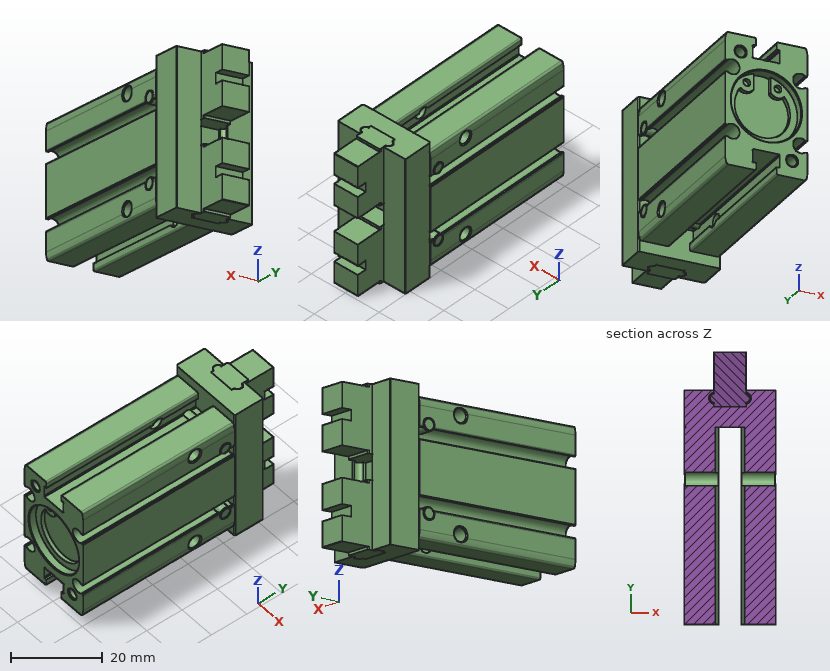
import cadquery as cq
import math


HALF_WIDTH = 10.0
HALF_HEIGHT = 16.0
BODY_LENGTH = 43.0
FLANK_START = 14.0
FLANK_RADIUS = 5.2
CORNER_RADIUS = 0.6

SLOT_HALF_MOUTH = 2.5
SLOT_HALF_WIDTH = 3.3
SLOT_LIP_BOTTOM = 14.2
SLOT_FLOOR = 11.0
SLOT_RIM_RADIUS = 0.4
SLOT_CORNER = 0.2

GROOVE_DIAMETER = 3.6
GROOVE_X = 8.3
GROOVE_Z = 7.8
GROOVE_HALF_MOUTH = 1.42
GROOVE_LIP_DEPTH = 0.1
GROOVE_OUTER_LIP = 0.35
GROOVE_INNER_LIP = 0.15

CROSS_HOLE_DIAMETER = 3.24
CROSS_HOLE_RIM = 3.8
CROSS_HOLE_Y = 31.7
CROSS_HOLE_Z = 13.4
END_HOLE_DIAMETER = 2.46
END_HOLE_RIM = 3.0
END_HOLE_X = 6.25
END_HOLE_Z = 11.9
END_HOLE_DEPTH = 8.0

PIN_DIAMETER = 3.0
PIN_Y = 40.4
PIN_Z = 10.0
PIN_CHAMFER_LENGTH = 0.25
PIN_CHAMFER_RADIAL = 0.2

BORE_DIAMETER = 17.0
BORE_DEPTH = 3.0
BORE_CHAMFER = 0.2
RING_INNER_DIAMETER = 13.5
RING_THICKNESS = 1.0
RING_HALF_GAP = 2.05
LUG_DIAMETER = 4.4
LUG_HOLE_DIAMETER = 1.7
LUG_X = 3.78
LUG_Z = 5.8

PLATE_HALF_HEIGHT = 18.7
PLATE_THICKNESS = 8.1
PLATE_FRONT = BODY_LENGTH + PLATE_THICKNESS
PLATE_REAR_CHAMFER = 0.3
PLATE_FRONT_CHAMFER = 0.15

JAW_HALF_WIDTH = 3.5
JAW_BACK = 47.5
JAW_TIP = 59.4
JAW_CENTRE_Z = 10.82
FOOT_TOP = 52.3
FOOT_LENGTH = 2 * (PLATE_HALF_HEIGHT - JAW_CENTRE_Z)
FOOT_CHAMFER_LENGTH = 0.4
FOOT_CHAMFER_SIDE = 0.15
FINGER_LENGTH = 14.35
TIP_CHAMFER = 0.1
NOTCH_WIDTH = 2.5
NOTCH_DEPTH = 2.55
RIDGE_X = 3.35
RIDGE_Y = 49.35
RIDGE_RADIUS = 1.05
TRACK_RADIUS = 1.2


def block(x_range, y_range, z_range):
    """Box between the given limits."""
    limits = (x_range, y_range, z_range)
    size = [high - low for low, high in limits]
    return cq.Workplane("XY").box(*size, centered=False).translate([low for low, high in limits])


def rear_plane(y=0.0):
    """XZ workplane at depth y; a negative extrusion runs towards +Y."""
    return cq.Workplane("XZ", origin=(0, y, 0))


def extrusion_outline():
    """Solid outline of the body, with curved flanks and rounded corners."""
    flank_x = HALF_WIDTH - FLANK_RADIUS
    reach = FLANK_RADIUS - CORNER_RADIUS
    corner_z = HALF_HEIGHT - CORNER_RADIUS
    angle = math.asin((corner_z - FLANK_START) / reach)
    corner_x = flank_x + reach * math.cos(angle)
    join_x = flank_x + FLANK_RADIUS * math.cos(angle)
    join_z = FLANK_START + FLANK_RADIUS * math.sin(angle)
    quarter = (
        rear_plane()
        .lineTo(HALF_WIDTH, 0)
        .lineTo(HALF_WIDTH, FLANK_START)
        .tangentArcPoint((join_x, join_z), relative=False)
        .tangentArcPoint((corner_x, HALF_HEIGHT), relative=False)
        .lineTo(0, HALF_HEIGHT)
        .close()
        .extrude(-BODY_LENGTH)
    )
    half = quarter.union(quarter.mirror("YZ"))
    return half.union(half.mirror("XY")).clean()


def t_slot():
    """Cutter for the upper T-slot."""
    mouth_edge = SLOT_HALF_MOUTH + SLOT_RIM_RADIUS
    rim_z = HALF_HEIGHT - SLOT_RIM_RADIUS
    half = (
        rear_plane()
        .moveTo(0, SLOT_FLOOR)
        .lineTo(SLOT_HALF_WIDTH - SLOT_CORNER, SLOT_FLOOR)
        .lineTo(SLOT_HALF_WIDTH, SLOT_FLOOR + SLOT_CORNER)
        .lineTo(SLOT_HALF_WIDTH, SLOT_LIP_BOTTOM - SLOT_CORNER)
        .lineTo(SLOT_HALF_WIDTH - SLOT_CORNER, SLOT_LIP_BOTTOM)
        .lineTo(SLOT_HALF_MOUTH, SLOT_LIP_BOTTOM)
        .lineTo(SLOT_HALF_MOUTH, rim_z)
        .radiusArc((mouth_edge, HALF_HEIGHT), SLOT_RIM_RADIUS)
        .lineTo(0, HALF_HEIGHT)
        .close()
        .extrude(-BODY_LENGTH)
    )
    return half.union(half.mirror("YZ"))


def side_groove():
    """Cutter for the upper groove on the +X side: a round channel with a narrower mouth."""
    channel = rear_plane().center(GROOVE_X, GROOVE_Z).circle(GROOVE_DIAMETER / 2).extrude(-BODY_LENGTH)
    channel = channel.intersect(
        block((0, HALF_WIDTH - GROOVE_LIP_DEPTH), (0, BODY_LENGTH), (0, HALF_HEIGHT))
    )
    lip_x = HALF_WIDTH - GROOVE_LIP_DEPTH
    top = GROOVE_Z + GROOVE_HALF_MOUTH
    bottom = GROOVE_Z - GROOVE_HALF_MOUTH
    mouth = (
        rear_plane()
        .moveTo(GROOVE_X, bottom)
        .lineTo(lip_x, bottom)
        .lineTo(HALF_WIDTH, bottom - GROOVE_INNER_LIP)
        .lineTo(HALF_WIDTH, top + GROOVE_OUTER_LIP)
        .lineTo(lip_x, top)
        .lineTo(GROOVE_X, top)
        .close()
        .extrude(-BODY_LENGTH)
    )
    return channel.union(mouth)


def cross_hole(z):
    """Cutter for a hole along X, countersunk on both sides."""
    flare = (CROSS_HOLE_RIM - CROSS_HOLE_DIAMETER) / 2
    half = (
        cq.Workplane("XY", origin=(0, CROSS_HOLE_Y, z))
        .lineTo(0, CROSS_HOLE_DIAMETER / 2)
        .lineTo(HALF_WIDTH - flare, CROSS_HOLE_DIAMETER / 2)
        .lineTo(HALF_WIDTH, CROSS_HOLE_RIM / 2)
        .lineTo(HALF_WIDTH, 0)
        .close()
        .revolve(360, (0, 0, 0), (1, 0, 0))
    )
    return half.union(half.mirror("YZ"))


def end_hole(x, z):
    """Cutter for a countersunk blind hole in the rear face."""
    flare = (END_HOLE_RIM - END_HOLE_DIAMETER) / 2
    return (
        cq.Workplane("XY", origin=(x, 0, z))
        .lineTo(END_HOLE_RIM / 2, 0)
        .lineTo(END_HOLE_DIAMETER / 2, flare)
        .lineTo(END_HOLE_DIAMETER / 2, END_HOLE_DEPTH)
        .lineTo(0, END_HOLE_DEPTH)
        .close()
        .revolve(360, (0, 0, 0), (0, 1, 0))
    )


def pin_hole(z):
    """Cutter for the hole of a dowel pin."""
    return (
        cq.Workplane("YZ", origin=(-HALF_WIDTH, PIN_Y, z))
        .circle(PIN_DIAMETER / 2)
        .extrude(2 * HALF_WIDTH)
    )


def dowel_pin(z):
    """Dowel pin with chamfered ends, flush with both sides of the body."""
    return pin_hole(z).faces("<X or >X").chamfer(PIN_CHAMFER_LENGTH, PIN_CHAMFER_RADIAL)


def rear_bore():
    """Cutter for the shallow bore in the rear face, with its chamfered rim."""
    radius = BORE_DIAMETER / 2
    return (
        cq.Workplane("XY")
        .lineTo(radius + BORE_CHAMFER, 0)
        .lineTo(radius, BORE_CHAMFER)
        .lineTo(radius, BORE_DEPTH)
        .lineTo(0, BORE_DEPTH)
        .close()
        .revolve(360, (0, 0, 0), (0, 1, 0))
    )


def retaining_ring():
    """Open ring at the bottom of the bore, with two round lugs beside its gap."""
    plane = rear_plane(BORE_DEPTH - RING_THICKNESS)
    disc = plane.circle(BORE_DIAMETER / 2).extrude(-RING_THICKNESS)
    ring = disc.cut(plane.circle(RING_INNER_DIAMETER / 2).extrude(-RING_THICKNESS))
    lug_points = [(-LUG_X, LUG_Z), (LUG_X, LUG_Z)]
    lugs = plane.pushPoints(lug_points).circle(LUG_DIAMETER / 2).extrude(-RING_THICKNESS)
    ring = ring.union(lugs.intersect(disc))
    gap = block((-RING_HALF_GAP, RING_HALF_GAP), (0, BORE_DEPTH), (0, BORE_DIAMETER))
    holes = plane.pushPoints(lug_points).circle(LUG_HOLE_DIAMETER / 2).extrude(-RING_THICKNESS)
    return ring.cut(gap).cut(holes)


def ridge_section(radius):
    """Vertical round bars on both sides of a jaw, over the full plate height."""
    return (
        cq.Workplane("XY", origin=(0, 0, -PLATE_HALF_HEIGHT))
        .pushPoints([(-RIDGE_X, RIDGE_Y), (RIDGE_X, RIDGE_Y)])
        .circle(radius)
        .extrude(2 * PLATE_HALF_HEIGHT)
    )


def make_head_plate():
    """Plate in front of the body, with the track in which the jaws slide."""
    z_range = (-PLATE_HALF_HEIGHT, PLATE_HALF_HEIGHT)
    plate = block((-HALF_WIDTH, HALF_WIDTH), (BODY_LENGTH, PLATE_FRONT), z_range)
    plate = plate.faces("<Y").edges("|Z").chamfer(PLATE_REAR_CHAMFER)
    plate = plate.faces(">Y").edges("|Z").chamfer(PLATE_FRONT_CHAMFER)
    track = block((-JAW_HALF_WIDTH, JAW_HALF_WIDTH), (JAW_BACK, PLATE_FRONT), z_range)
    return plate.cut(track).cut(ridge_section(TRACK_RADIUS))


def make_body():
    """Body extrusion, head plate, dowel pins and retaining ring in one solid."""
    body = extrusion_outline()
    slot = t_slot()
    body = body.cut(slot).cut(slot.mirror("XY"))
    groove = side_groove()
    upper_grooves = groove.union(groove.mirror("YZ"))
    body = body.cut(upper_grooves).cut(upper_grooves.mirror("XY"))
    for side in (-1, 1):
        body = body.cut(cross_hole(side * CROSS_HOLE_Z))
        body = body.cut(end_hole(side * END_HOLE_X, -side * END_HOLE_Z))
        body = body.cut(pin_hole(side * PIN_Z)).union(dowel_pin(side * PIN_Z))
    body = body.cut(rear_bore()).union(retaining_ring())
    return body.union(make_head_plate())


def foot_chamfer():
    """Cutter for the bevel along the +X front edge of a foot, over the full plate height."""
    return (
        cq.Workplane("XY", origin=(0, 0, -PLATE_HALF_HEIGHT))
        .moveTo(JAW_HALF_WIDTH, FOOT_TOP)
        .lineTo(JAW_HALF_WIDTH - FOOT_CHAMFER_SIDE, FOOT_TOP)
        .lineTo(JAW_HALF_WIDTH, FOOT_TOP - FOOT_CHAMFER_LENGTH)
        .close()
        .extrude(2 * PLATE_HALF_HEIGHT)
    )


def make_jaw(side):
    """One jaw: a foot with ridges in the plate track, and a notched finger."""
    centre_z = side * JAW_CENTRE_Z
    x_range = (-JAW_HALF_WIDTH, JAW_HALF_WIDTH)

    def z_range(length):
        return (centre_z - length / 2, centre_z + length / 2)

    foot = block(x_range, (JAW_BACK, FOOT_TOP), z_range(FOOT_LENGTH))
    foot = foot.cut(foot_chamfer()).cut(foot_chamfer().mirror("YZ"))
    ridges = ridge_section(RIDGE_RADIUS).intersect(
        block((-HALF_WIDTH, HALF_WIDTH), (JAW_BACK, FOOT_TOP), z_range(FOOT_LENGTH))
    )
    finger = block(x_range, (JAW_BACK, JAW_TIP), z_range(FINGER_LENGTH))
    outer_face = ">Z" if side > 0 else "<Z"
    finger = finger.faces(">Y").edges(outer_face).chamfer(TIP_CHAMFER)
    notch = block(x_range, (JAW_TIP - NOTCH_DEPTH, JAW_TIP), z_range(NOTCH_WIDTH))
    return foot.union(finger).union(ridges).cut(notch)


body = make_body()
jaws = [make_jaw(side) for side in (-1, 1)]

result = cq.Compound.makeCompound([body.val(), *[jaw.val() for jaw in jaws]])